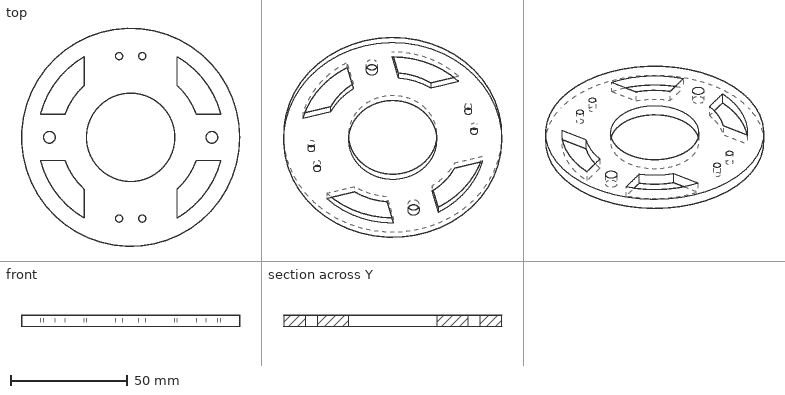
import cadquery as cq

disc_diameter = 94.0
thickness = 5.0
bore_diameter = 38.0

window_inner_radius = 30.0
window_outer_radius = 40.0
wide_spoke_half_width = 20.0
narrow_spoke_half_width = wide_spoke_half_width / 2

hole_offset = 35.0
single_hole_diameter = 5.0
pair_hole_diameter = 3.0
pair_spacing = 10.0


def make_disc():
    return cq.Workplane("XY").circle(disc_diameter / 2).circle(bore_diameter / 2).extrude(thickness)


def make_windows():
    ring = cq.Workplane("XY").circle(window_outer_radius).circle(window_inner_radius).extrude(thickness)
    spoke_length = 2 * window_outer_radius
    spoke_along_y = cq.Workplane("XY").rect(2 * wide_spoke_half_width, spoke_length).extrude(thickness)
    spoke_along_x = cq.Workplane("XY").rect(spoke_length, 2 * narrow_spoke_half_width).extrude(thickness)
    return ring.cut(spoke_along_y).cut(spoke_along_x)


def make_holes(points, diameter):
    return cq.Workplane("XY").pushPoints(points).circle(diameter / 2).extrude(thickness)


single_hole_points = [(side * hole_offset, 0) for side in (-1, 1)]
pair_hole_points = [
    (x_side * pair_spacing / 2, y_side * hole_offset)
    for x_side in (-1, 1)
    for y_side in (-1, 1)
]

result = (
    make_disc()
    .cut(make_windows())
    .cut(make_holes(single_hole_points, single_hole_diameter))
    .cut(make_holes(pair_hole_points, pair_hole_diameter))
)